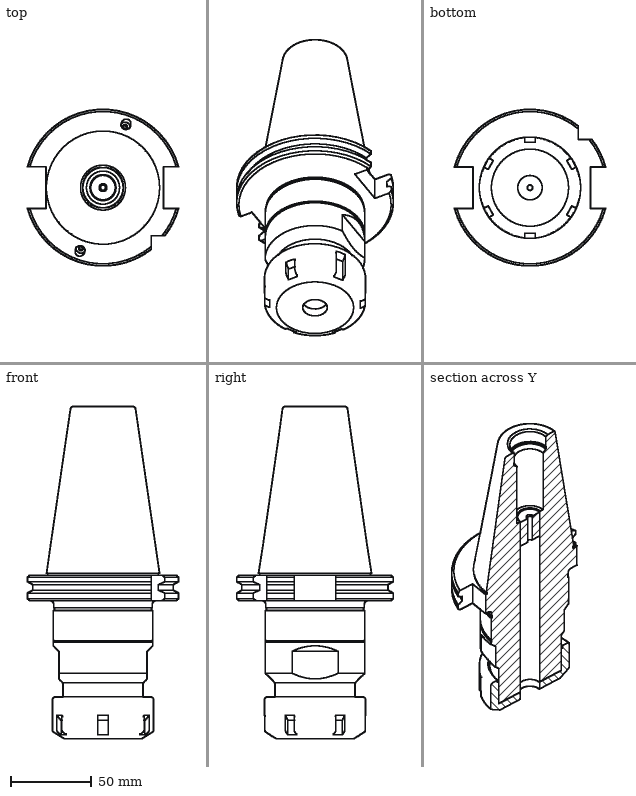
import cadquery as cq
import math


overall_length = 206.75

gauge_radius = 69.85 / 2
taper_length = 101.75
taper_slope = 7 / 48
taper_end_radius = gauge_radius - taper_length * taper_slope
taper_end_round = 2.0
undercut_radius = 34.5
undercut_top_z = -1.9
taper_base_radius = gauge_radius - undercut_top_z * taper_slope

flange_radius = 97.5 / 2
flange_top_z = -3.2
flange_bottom_z = -19.1
flange_chamfer = 1.4
groove_root_radius = 45.6
groove_centre_z = -10.8
groove_root_width = 3.4
groove_mouth_width = 7.0
key_slot_width = 25.7
key_slot_left_x = -35.5
key_slot_right_x = 37.7
notch_corner = 30.0

body_radius = 31.0
flange_root_round = 2.4
collar_radius = 30.7
collar_bottom_z = -23.5
relief_radius = 30.3
relief_bottom_z = -25.0
relief_edge_chamfer = 0.3
ring_groove_z = -44.3
ring_groove_width = 1.0
ring_groove_depth = 0.4
body_bottom_z = -64.2
neck_radius = 25.0
neck_top_z = body_bottom_z - (body_radius - neck_radius)

flat_distance = 27.5
flat_top_z = -50.6

nut_radius = 31.5
nut_top_z = -78.9
nut_bottom_z = taper_length - overall_length
nut_top_round = 1.7
nut_bottom_round = 2.0
nut_face_radius = 24.0
nut_face_cone_height = 4.6
nut_lip_thickness = 5.7
nut_mouth_radius = 26.1
nut_mouth_depth = 2.0
nut_slot_count = 6
first_nut_slot_angle = 30
nut_slot_width = 6.4
nut_slot_floor = 28.2
nut_slot_top_z = -90.2
long_slot_top_z = -83.4
long_slot_angle = 150

mouth_radius = 14.0
pilot_radius = 12.5
pilot_depth = 11.0
pilot_groove_radius = 12.9
pilot_groove_width = 1.6
thread_bore_radius = 10.3
thread_bore_depth = 60.0
mouth_chamfer_depth = 0.9
pilot_cone_depth = pilot_radius - thread_bore_radius
bore_radius = 7.6
bore_edge_chamfer = 0.5
thread_bore_floor_z = taper_length - thread_bore_depth

stop_screw_length = 20.0
stop_screw_hole_radius = 1.6
stop_screw_hole_chamfer = 0.8

coolant_hole_diameter = 6.0
coolant_hole_circle_radius = 41.9
coolant_hole_angles = (70, 250)
coolant_hole_tilt = 25
coolant_hole_depth = 3.5
coolant_socket_width = 3.0
coolant_socket_depth = 2.0

nose_bottom_z = nut_bottom_z + nut_lip_thickness


def holder_blank():
    """Outside of the holder as one revolved profile, from taper end to nose."""
    mouth_half = groove_mouth_width / 2
    root_half = groove_root_width / 2
    ring_half = ring_groove_width / 2
    ring_radius = body_radius - ring_groove_depth
    rim = flange_radius - flange_chamfer
    profile = (
        cq.Workplane("XZ")
        .moveTo(0, taper_length)
        .lineTo(taper_end_radius, taper_length)
        .lineTo(taper_base_radius, undercut_top_z)
        .lineTo(undercut_radius, undercut_top_z)
        .lineTo(undercut_radius, flange_top_z)
        .lineTo(rim, flange_top_z)
        .lineTo(flange_radius, flange_top_z - flange_chamfer)
        .lineTo(flange_radius, groove_centre_z + mouth_half)
        .lineTo(groove_root_radius, groove_centre_z + root_half)
        .lineTo(groove_root_radius, groove_centre_z - root_half)
        .lineTo(flange_radius, groove_centre_z - mouth_half)
        .lineTo(flange_radius, flange_bottom_z + flange_chamfer)
        .lineTo(rim, flange_bottom_z)
        .lineTo(collar_radius + flange_root_round, flange_bottom_z)
        .radiusArc((collar_radius, flange_bottom_z - flange_root_round), -flange_root_round)
        .lineTo(collar_radius, collar_bottom_z)
        .lineTo(relief_radius, collar_bottom_z)
        .lineTo(relief_radius, relief_bottom_z)
        .lineTo(body_radius - relief_edge_chamfer, relief_bottom_z)
        .lineTo(body_radius, relief_bottom_z - relief_edge_chamfer)
        .lineTo(body_radius, ring_groove_z + ring_half)
        .lineTo(ring_radius, ring_groove_z + ring_half)
        .lineTo(ring_radius, ring_groove_z - ring_half)
        .lineTo(body_radius, ring_groove_z - ring_half)
        .lineTo(body_radius, body_bottom_z)
        .lineTo(neck_radius, neck_top_z)
        .lineTo(neck_radius, nose_bottom_z)
        .lineTo(0, nose_bottom_z)
        .close()
    )
    blank = profile.revolve(360, (0, 0, 0), (0, 1, 0))
    return blank.faces(">Z").edges().fillet(taper_end_round)


def axial_bore():
    """Drawbar thread bore from the taper end and the smaller bore through the nose."""
    pilot_bottom_z = taper_length - pilot_depth
    groove_top_z = pilot_bottom_z + pilot_groove_width
    return (
        cq.Workplane("XZ")
        .moveTo(0, taper_length)
        .lineTo(mouth_radius, taper_length)
        .lineTo(pilot_radius, taper_length - mouth_chamfer_depth)
        .lineTo(pilot_radius, groove_top_z)
        .lineTo(pilot_groove_radius, groove_top_z)
        .lineTo(pilot_groove_radius, pilot_bottom_z)
        .lineTo(pilot_radius, pilot_bottom_z)
        .lineTo(thread_bore_radius, pilot_bottom_z - pilot_cone_depth)
        .lineTo(thread_bore_radius, thread_bore_floor_z)
        .lineTo(bore_radius + bore_edge_chamfer, thread_bore_floor_z)
        .lineTo(bore_radius, thread_bore_floor_z - bore_edge_chamfer)
        .lineTo(bore_radius, nose_bottom_z)
        .lineTo(0, nose_bottom_z)
        .close()
        .revolve(360, (0, 0, 0), (0, 1, 0))
    )


def flange_cutouts():
    """Two drive key slots and the square orientation notch, through the flange height."""
    height = flange_top_z - flange_bottom_z
    reach = flange_radius
    base = cq.Workplane("XY").workplane(offset=flange_bottom_z)
    left = base.center(key_slot_left_x - reach / 2, 0).rect(reach, key_slot_width).extrude(height)
    right = base.center(key_slot_right_x + reach / 2, 0).rect(reach, key_slot_width).extrude(height)
    notch_centre = notch_corner + reach / 2
    notch = base.center(notch_centre, -notch_centre).rect(reach, reach).extrude(height)
    return left.union(right).union(notch)


def spanner_flat(side):
    """Cutter for one flat; its upper end runs out at 45 degrees."""
    run_out = body_radius - flat_distance
    return (
        cq.Workplane("XZ")
        .moveTo(side * flat_distance, neck_top_z)
        .lineTo(side * flat_distance, flat_top_z)
        .lineTo(side * body_radius, flat_top_z + run_out)
        .lineTo(side * body_radius, neck_top_z)
        .close()
        .extrude(body_radius, both=True)
    )


def coolant_hole(angle):
    """Tilted flange hole, closed by a plug face with a hexagon socket."""
    turn = math.radians(angle)
    tilt = math.radians(coolant_hole_tilt)
    inward = math.sin(tilt)
    direction = cq.Vector(-inward * math.cos(turn), -inward * math.sin(turn), -math.cos(tilt))
    mouth = cq.Vector(
        coolant_hole_circle_radius * math.cos(turn),
        coolant_hole_circle_radius * math.sin(turn),
        flange_top_z,
    )
    start = mouth - direction * coolant_hole_diameter
    plane = cq.Plane(origin=start.toTuple(), normal=direction.toTuple())
    plug_depth = coolant_hole_diameter + coolant_hole_depth
    hole = cq.Workplane(plane).circle(coolant_hole_diameter / 2).extrude(plug_depth)
    socket = (
        cq.Workplane(plane)
        .polygon(6, coolant_socket_width)
        .extrude(plug_depth + coolant_socket_depth)
    )
    return hole.union(socket)


def make_holder():
    holder = holder_blank().cut(axial_bore()).cut(flange_cutouts())
    for side in (-1, 1):
        holder = holder.cut(spanner_flat(side))
    for angle in coolant_hole_angles:
        holder = holder.cut(coolant_hole(angle))
    return holder


def nut_slot(angle, top_z):
    """Cutter for one spanner slot; its upper end slopes down to the floor at 45 degrees."""
    depth = nut_radius - nut_slot_floor
    return (
        cq.Workplane("XZ")
        .moveTo(nut_slot_floor, nut_bottom_z)
        .lineTo(nut_slot_floor, top_z - depth)
        .lineTo(nut_radius, top_z)
        .lineTo(nut_radius, nut_bottom_z)
        .close()
        .extrude(nut_slot_width / 2, both=True)
        .rotate((0, 0, 0), (0, 0, 1), angle)
    )


def make_nut():
    """Cap-shaped nut around the holder nose, with six spanner slots."""
    cone_top_z = nut_bottom_z + nut_face_cone_height
    outside = (
        cq.Workplane("XZ")
        .moveTo(0, nut_top_z)
        .lineTo(nut_radius - nut_top_round, nut_top_z)
        .radiusArc((nut_radius, nut_top_z - nut_top_round), nut_top_round)
        .lineTo(nut_radius, cone_top_z)
        .lineTo(nut_face_radius, nut_bottom_z)
        .lineTo(0, nut_bottom_z)
        .close()
        .revolve(360, (0, 0, 0), (0, 1, 0))
    )
    outside = outside.faces("%CONE").edges(">Z").fillet(nut_bottom_round)
    inside = (
        cq.Workplane("XZ")
        .moveTo(0, nut_top_z)
        .lineTo(nut_mouth_radius, nut_top_z)
        .lineTo(nut_mouth_radius, nut_top_z - nut_mouth_depth)
        .lineTo(neck_radius, nut_top_z - nut_mouth_depth)
        .lineTo(neck_radius, nose_bottom_z)
        .lineTo(bore_radius, nose_bottom_z)
        .lineTo(bore_radius, nut_bottom_z)
        .lineTo(0, nut_bottom_z)
        .close()
        .revolve(360, (0, 0, 0), (0, 1, 0))
    )
    nut = outside.cut(inside)
    for index in range(nut_slot_count):
        angle = first_nut_slot_angle + index * 360 / nut_slot_count
        is_long = round(angle) == long_slot_angle
        nut = nut.cut(nut_slot(angle, long_slot_top_z if is_long else nut_slot_top_z))
    return nut


def make_stop_screw():
    """Headless screw filling the bore below the drawbar thread, with a small coolant hole."""
    top_z = thread_bore_floor_z - bore_edge_chamfer
    screw = (
        cq.Workplane("XY")
        .workplane(offset=top_z - stop_screw_length)
        .circle(bore_radius)
        .circle(stop_screw_hole_radius)
        .extrude(stop_screw_length)
    )
    hole_edge = screw.faces(">Z").edges(cq.selectors.RadiusNthSelector(0))
    return hole_edge.chamfer(stop_screw_hole_chamfer)


holder = make_holder()
nut = make_nut()
stop_screw = make_stop_screw()

result = cq.Compound.makeCompound([holder.val(), nut.val(), stop_screw.val()])